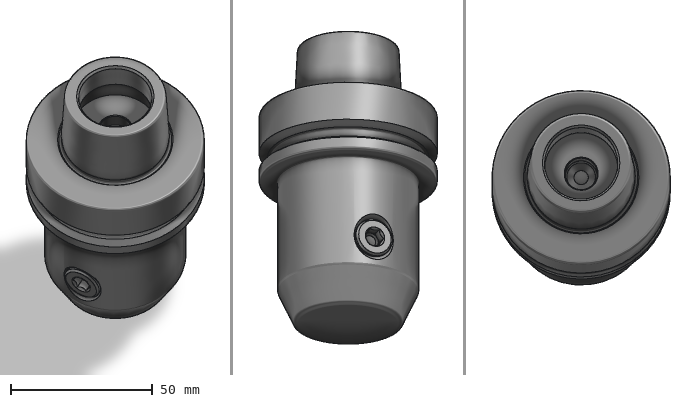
import cadquery as cq
import math

total_height = 105.0
flange_top = 79.9
flange_bottom = 54.0

body_radius = 25.0
nose_radius = 19.0
nose_cone_top = 12.9
nose_blend = 2.0
body_root_fillet = 0.5

flange_radius = 31.5
flange_fillet = 1.0
groove_radius = 27.4
groove_upper_edge = 65.4
groove_lower_edge = 58.6
groove_wall_top = 63.7
groove_wall_bottom = 60.0
groove_fillet = 0.6
flank_angle = math.radians(30)

taper_base = 82.0
taper_base_radius = 19.1
taper_top_radius = 18.0
taper_fillet = 1.0
neck_radius = 18.9
neck_top = 81.1
neck_step_radius = 19.0
neck_step = 81.4
neck_fillet = 0.9
relief_radius = 20.0
relief_rim_radius = 20.4
relief_depth = 0.4

bore_radius = 12.9
bore_chamfer = 0.7
bore_chamfer_depth = 0.8
undercut_radius = 15.0
undercut_top = total_height - 9.9
bore_floor = total_height - 18.8

port_radius = 5.7
port_chamfer = 0.3
port_depth = 5.2
port_seat_radius = 5.0
port_tip_radius = 2.5
port_cone_angle = math.radians(30)
port_cone_depth = (port_seat_radius - port_tip_radius) * math.tan(port_cone_angle)

screw_height = 23.9
screw_radius = 6.9
screw_chamfer = 0.7
screw_length = 10.5
countersink_radius = 8.6
hex_across_flats = 6.0
hex_depth = 4.2
socket_mouth_radius = 3.7
socket_mouth_depth = 1.0
socket_tip_radius = 2.2
socket_cone_depth = 0.5


def revolve_profile(points):
    """Revolve a closed (radius, height) outline about the Z axis."""
    outline = cq.Workplane("YZ").polyline(points).close()
    return outline.revolve(360, (0, 0, 0), (0, 1, 0))


def cone_along_y(start_radius, end_radius, start_depth, length):
    """Cone on the screw axis; depth runs inward from the body's -Y side."""
    start = cq.Vector(0, start_depth - body_radius, screw_height)
    cone = cq.Solid.makeCone(start_radius, end_radius, length, start, cq.Vector(0, 1, 0))
    return cq.Workplane(obj=cone)


def fillet_circle(part, radius, height, size):
    """Round the circular edge of the given radius and height about Z."""
    tolerance = 0.01
    low = (-radius - tolerance, -radius - tolerance, height - tolerance)
    high = (radius + tolerance, radius + tolerance, height + tolerance)
    ring = part.edges(cq.selectors.BoxSelector(low, high, boundingbox=True))
    ring = ring.edges(cq.selectors.RadiusNthSelector(-1))
    return ring.fillet(size)


def make_holder():
    """Turned outside: nose, body, grooved flange, neck relief and taper shank."""
    upper_flank_height = groove_upper_edge - groove_wall_top
    lower_flank_height = groove_wall_bottom - groove_lower_edge
    upper_flank_radius = flange_radius - upper_flank_height / math.tan(flank_angle)
    lower_flank_radius = flange_radius - lower_flank_height / math.tan(flank_angle)
    relief_floor = flange_top - relief_depth
    holder = revolve_profile([
        (0, 0),
        (nose_radius, 0),
        (body_radius, nose_cone_top),
        (body_radius, flange_bottom),
        (flange_radius, flange_bottom),
        (flange_radius, groove_lower_edge),
        (lower_flank_radius, groove_wall_bottom),
        (groove_radius, groove_wall_bottom),
        (groove_radius, groove_wall_top),
        (upper_flank_radius, groove_wall_top),
        (flange_radius, groove_upper_edge),
        (flange_radius, flange_top),
        (relief_rim_radius, flange_top),
        (relief_radius, relief_floor),
        (neck_radius, relief_floor),
        (neck_radius, neck_top),
        (neck_step_radius, neck_step),
        (taper_base_radius, taper_base),
        (taper_top_radius, total_height),
        (0, total_height),
    ])
    holder = fillet_circle(holder, groove_radius, groove_wall_bottom, groove_fillet)
    holder = fillet_circle(holder, groove_radius, groove_wall_top, groove_fillet)
    holder = fillet_circle(holder, neck_radius, relief_floor, neck_fillet)
    holder = fillet_circle(holder, nose_radius, 0, nose_blend)
    holder = fillet_circle(holder, body_radius, nose_cone_top, nose_blend)
    holder = fillet_circle(holder, body_radius, flange_bottom, body_root_fillet)
    holder = fillet_circle(holder, flange_radius, flange_bottom, flange_fillet)
    holder = fillet_circle(holder, flange_radius, flange_top, flange_fillet)
    return fillet_circle(holder, taper_top_radius, total_height, taper_fillet)


def make_bore():
    """Stepped bore of the shank, ending in the conical seat of the coolant port."""
    port_bottom = bore_floor - port_depth
    return revolve_profile([
        (0, total_height),
        (bore_radius + bore_chamfer, total_height),
        (bore_radius, total_height - bore_chamfer_depth),
        (bore_radius, undercut_top),
        (undercut_radius, undercut_top),
        (undercut_radius, bore_floor),
        (port_radius + port_chamfer, bore_floor),
        (port_radius, bore_floor - port_chamfer),
        (port_radius, port_bottom),
        (port_seat_radius, port_bottom),
        (port_tip_radius, port_bottom - port_cone_depth),
        (0, port_bottom - port_cone_depth),
    ])


def make_countersink():
    """45 degree countersink around the screw head."""
    return cone_along_y(countersink_radius, screw_radius, 0, countersink_radius - screw_radius)


def make_screw():
    """Chamfered clamping screw, its face level with the body side."""
    tip = cone_along_y(screw_radius - screw_chamfer, screw_radius, 0, screw_chamfer)
    shank_length = screw_length - screw_chamfer
    shank_start = cq.Vector(0, screw_chamfer - body_radius, screw_height)
    shank = cq.Solid.makeCylinder(screw_radius, shank_length, shank_start, cq.Vector(0, 1, 0))
    return tip.union(cq.Workplane(obj=shank))


def make_socket():
    """Hexagon socket with a conical mouth and a conical end."""
    inscribed_radius = hex_across_flats / 2
    across_corners = hex_across_flats / math.cos(math.pi / 6)
    hex_plane = cq.Workplane("XZ", origin=(0, -body_radius, screw_height))
    hexagon = hex_plane.polygon(6, across_corners).extrude(-hex_depth)
    mouth = cone_along_y(socket_mouth_radius, inscribed_radius, 0, socket_mouth_depth)
    tip = cone_along_y(inscribed_radius, socket_tip_radius, hex_depth, socket_cone_depth)
    return hexagon.union(mouth).union(tip)


holder = make_holder().cut(make_bore()).cut(make_countersink())
result = holder.union(make_screw()).cut(make_socket())